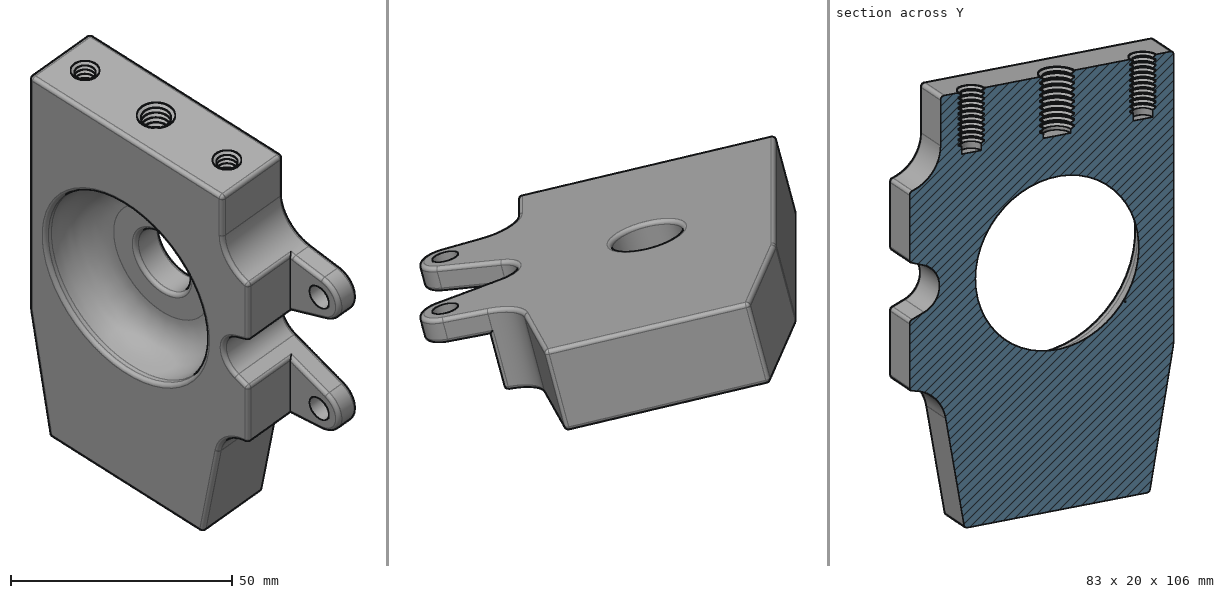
import cadquery as cq
import math


height = 106.0
body_width = 60.0
thickness = 20.0
bore_height = 60.0
taper_drop = 25.0
taper_angle = 10.0
corner_radius = 1.0
knee_radius = 8.0
edge_radius = 1.0

overall_length = 83.0
ear_radius = 6.0
ear_thickness = 6.0
ear_offset = 17.0
ear_hole_diameter = 6.0
outer_flank_angle = 7.1
inner_flank_angle = 20.8
step_inset = 15.0
web_radius = 10.0
gap_radius = 6.0

bore_diameter = 16.5
bowl_floor_radius = 15.0
bowl_arc_radius = 10.0
bowl_wall = 1.0

hole_spacing = 22.0
hole_depth = 15.0
thread_angle = 60.0
center_thread = dict(major=8.7, minor=6.9, pitch=1.5)
side_thread = dict(major=6.6, minor=4.9, pitch=1.3)

half_width = body_width / 2
top = height - bore_height
bottom = -bore_height
taper_slope = math.tan(math.radians(taper_angle))
bottom_half_width = half_width - (bore_height - taper_drop) * taper_slope
ear_x = overall_length - half_width - ear_radius
step_x = overall_length - half_width - step_inset

outer_slope = -math.tan(math.radians(outer_flank_angle))
inner_slope = math.tan(math.radians(inner_flank_angle))
outer_level = ear_offset - outer_slope * ear_x + ear_radius / math.cos(math.radians(outer_flank_angle))
inner_level = ear_offset - inner_slope * ear_x - ear_radius / math.cos(math.radians(inner_flank_angle))


def outline_plate(plate_thickness):
    """Plate from the back face forward; its outline is drawn sharp and every corner is then rounded."""
    tip_x = (outer_level - inner_level) / (inner_slope - outer_slope)
    tip_z = outer_level + outer_slope * tip_x
    upper_web_z = outer_level + outer_slope * half_width
    taper_start = half_width + taper_drop * taper_slope
    lower_web_z = -(outer_level + outer_slope * taper_start) / (1 + outer_slope * taper_slope)
    lower_web_x = taper_start + taper_slope * lower_web_z

    corners = [
        ((-half_width, top), corner_radius),
        ((half_width, top), corner_radius),
        ((half_width, upper_web_z), web_radius),
        ((tip_x, tip_z), ear_radius),
        ((-inner_level / inner_slope, 0), gap_radius),
        ((tip_x, -tip_z), ear_radius),
        ((lower_web_x, lower_web_z), web_radius),
        ((bottom_half_width, bottom), corner_radius),
        ((-bottom_half_width, bottom), corner_radius),
        ((-half_width, -taper_drop), knee_radius),
    ]
    points = [point for point, _ in corners]
    plate = cq.Workplane("XZ").polyline(points).close().extrude(plate_thickness)
    for (x, z), radius in corners:
        corner_edge = cq.selectors.NearestToPointSelector((x, -plate_thickness / 2, z))
        plate = plate.edges("|Y").edges(corner_edge).fillet(radius)
    return plate


def ear_plate():
    """Thin plate with the full outline, including both ears, and rounded front and back edges."""
    return outline_plate(ear_thickness).faces("<Y or >Y").edges().fillet(edge_radius)


def main_block():
    """Thick block that stops at the step and starts inside the ear plate; its front edges are rounded."""
    block = outline_plate(thickness)
    beyond_step = cq.Workplane("XY").box(height, height, 2 * height).translate((step_x + height / 2, 0, 0))
    behind = cq.Workplane("XY").box(2 * height, ear_thickness, 2 * height)
    block = block.cut(beyond_step).cut(behind)
    block = block.faces(">X").edges("|Y").fillet(corner_radius)
    return block.faces("<Y").edges().fillet(edge_radius)


def bowl_and_bore():
    """Solid to remove: flat-floored bowl with a rounded rim, and a through bore with rounded ends."""
    bore_radius = bore_diameter / 2
    bowl_radius = bowl_floor_radius + bowl_arc_radius
    bowl_depth = bowl_arc_radius + bowl_wall + edge_radius
    diagonal = math.sqrt(0.5)
    floor_y = bowl_depth - thickness
    rim_y = edge_radius - thickness
    wall_y = rim_y + bowl_wall
    mouth_radius = bore_radius + edge_radius
    profile = (
        cq.Workplane("XY")
        .lineTo(mouth_radius, 0)
        .threePointArc(
            (mouth_radius - edge_radius * diagonal, -edge_radius * (1 - diagonal)),
            (bore_radius, -edge_radius),
        )
        .lineTo(bore_radius, floor_y + edge_radius)
        .threePointArc(
            (mouth_radius - edge_radius * diagonal, floor_y + edge_radius * (1 - diagonal)),
            (mouth_radius, floor_y),
        )
        .lineTo(bowl_floor_radius, floor_y)
        .threePointArc(
            (bowl_floor_radius + bowl_arc_radius * diagonal, wall_y + bowl_arc_radius * diagonal),
            (bowl_radius, wall_y),
        )
        .lineTo(bowl_radius, rim_y)
        .threePointArc(
            (bowl_radius + edge_radius * (1 - diagonal), rim_y - edge_radius * diagonal),
            (bowl_radius + edge_radius, -thickness),
        )
        .lineTo(0, -thickness)
        .close()
    )
    return profile.revolve(360, (0, 0, 0), (0, 1, 0))


def threaded_hole(x, major, minor, pitch):
    """Solid to remove: blind hole from the top face with thread grooves as flat-rooted rings."""
    major_radius = major / 2
    minor_radius = minor / 2
    flank_height = (major_radius - minor_radius) * math.tan(math.radians(thread_angle / 2))
    flat_height = pitch / 2 - flank_height
    points = [(0, 0)]
    for turn in range(int(hole_depth / pitch)):
        groove_top = -turn * pitch
        points += [
            (major_radius, groove_top),
            (major_radius, groove_top - flat_height),
            (minor_radius, groove_top - flat_height - flank_height),
            (minor_radius, groove_top - pitch + flank_height),
        ]
    points += [(minor_radius, -hole_depth), (0, -hole_depth)]
    hole = cq.Workplane("XZ").polyline(points).close().revolve(360, (0, 0, 0), (0, 1, 0))
    return hole.translate((x, -thickness / 2, top))


result = ear_plate().union(main_block()).cut(bowl_and_bore())
for side in (1, -1):
    ear_hole = cq.Workplane("XZ").center(ear_x, side * ear_offset).circle(ear_hole_diameter / 2)
    result = result.cut(ear_hole.extrude(ear_thickness))
    result = result.cut(threaded_hole(side * hole_spacing, **side_thread))
result = result.cut(threaded_hole(0, **center_thread))